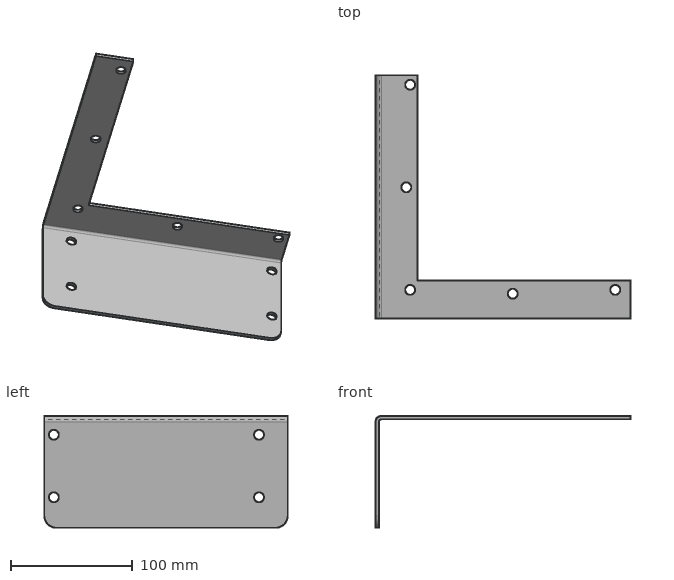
import cadquery as cq

length_x = 209.5
length_y = 200.1
height = 92.0

thickness = 3.0
inner_bend_radius = 2.0
outer_bend_radius = inner_bend_radius + thickness

rear_leg_width = 34.5
front_leg_width = 31.5
plate_corner_radius = 10.0

hole_diameter = 8.0
hole_span = 168.5
rear_hole_inset = 8.0
corner_hole_x = 28.5
middle_hole_shift = 3.1
upper_plate_hole_depth = 15.5
plate_hole_spacing = 51.3

rear_hole_y = length_y - rear_hole_inset
front_hole_y = rear_hole_y - hole_span


def make_bent_sheet():
    """L-section sheet: wall at X = 0, top face at Z = height."""
    profile = (
        cq.Workplane("XZ")
        .moveTo(0, 0)
        .lineTo(thickness, 0)
        .lineTo(thickness, height - outer_bend_radius)
        .radiusArc((outer_bend_radius, height - thickness), inner_bend_radius)
        .lineTo(length_x, height - thickness)
        .lineTo(length_x, height)
        .lineTo(outer_bend_radius, height)
        .radiusArc((0, height - outer_bend_radius), -outer_bend_radius)
        .close()
    )
    return profile.extrude(-length_y)


def make_leg_cutout():
    """Block that leaves the top flange as two legs meeting at a corner."""
    return cq.Workplane("XY").box(
        length_x - rear_leg_width,
        length_y - front_leg_width,
        height,
        centered=False,
    ).translate((rear_leg_width, front_leg_width, 0))


def make_flange_holes():
    """Vertical holes: three along each leg, sharing the one at the corner.

    The middle hole of each leg sits nearer to the outer edge of the leg.
    """
    half_span = hole_span / 2
    centers = [
        (corner_hole_x, front_hole_y),
        (corner_hole_x - middle_hole_shift, front_hole_y + half_span),
        (corner_hole_x, rear_hole_y),
        (corner_hole_x + half_span, front_hole_y - middle_hole_shift),
        (corner_hole_x + hole_span, front_hole_y),
    ]
    return (
        cq.Workplane("XY")
        .workplane(offset=height - thickness)
        .pushPoints(centers)
        .circle(hole_diameter / 2)
        .extrude(thickness)
    )


def make_plate_holes():
    """Four horizontal holes through the wall, in a rectangle."""
    upper_z = height - upper_plate_hole_depth
    centers = [
        (y, z)
        for y in (front_hole_y, rear_hole_y)
        for z in (upper_z, upper_z - plate_hole_spacing)
    ]
    return cq.Workplane("YZ").pushPoints(centers).circle(hole_diameter / 2).extrude(thickness)


bracket = make_bent_sheet().cut(make_leg_cutout())
bracket = bracket.faces("<Z").edges("|X").fillet(plate_corner_radius)
result = bracket.cut(make_flange_holes()).cut(make_plate_holes())